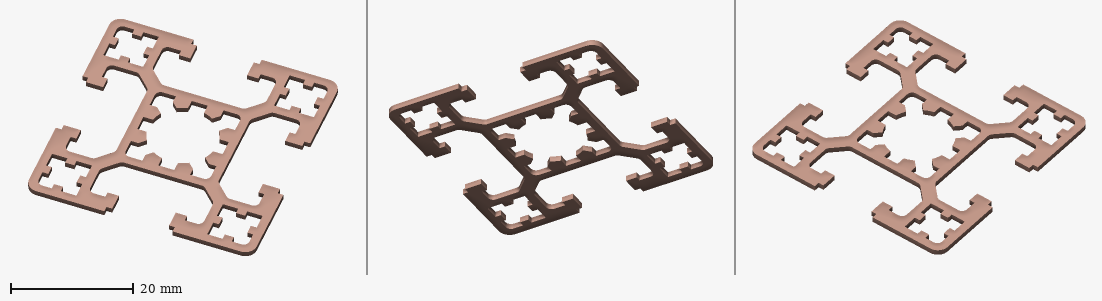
import cadquery as cq
import math

side = 40.0
thickness = 1.0
half = side / 2
outer_radius = 2.0

mouth_half = 5.0
rebate_half = 6.0
rebate_depth = 1.0
lip_depth = 4.0
hook_half = 7.0
hook_height = 1.0
slot_half = 10.0
slot_depth = 11.0
slot_radius = 1.0
strut_width = 2.5
floor_radius = 1.0
slope_radius = 1.0

post_cavity = 7.0
wall = (half - slot_half - post_cavity) / 2
post_centre = half - wall - post_cavity / 2
post_radius = 1.0
post_rib_width = 1.6
post_rib_height = 1.0

core_half = half - slot_depth - wall
core_radius = 1.0
bore_radius = 6.0
tooth_inner = 1.4
tooth_outer = 4.2
tooth_diagonal_offset = 2.0


def prism(points):
    return cq.Workplane("XY").polyline(points).close().extrude(thickness)


def block(width, height, x, y):
    return cq.Workplane("XY").center(x, y).rect(width, height).extrude(thickness)


def around_axis(body):
    """Four copies of a body, a quarter turn apart."""
    copies = body
    for turn in range(1, 4):
        copies = copies.union(body.rotate((0, 0, 0), (0, 0, 1), 90 * turn))
    return copies


def upright_edge_near(body, x, y):
    """The upright edge of a body that passes closest to (x, y)."""
    return body.edges(cq.selectors.NearestToPointSelector((x, y, thickness / 2)))


def t_slot():
    """Cutter for the slot that opens on the +Y side."""
    ceiling = half - lip_depth + hook_height
    floor = half - slot_depth
    floor_half = floor - strut_width / math.sqrt(2)
    slope_top = floor + slot_half - floor_half
    right_side = [
        (rebate_half, half),
        (rebate_half, half - rebate_depth),
        (mouth_half, half - rebate_depth),
        (mouth_half, half - lip_depth),
        (hook_half, half - lip_depth),
        (hook_half, ceiling),
        (slot_half, ceiling),
        (slot_half, slope_top),
        (floor_half, floor),
    ]
    left_side = [(-x, y) for x, y in reversed(right_side)]
    slot = prism(right_side + left_side)
    for sign in (-1, 1):
        slot = upright_edge_near(slot, sign * slot_half, ceiling).fillet(slot_radius)
        slot = upright_edge_near(slot, sign * floor_half, floor).fillet(floor_radius)
        slot = upright_edge_near(slot, sign * slot_half, slope_top).fillet(slope_radius)
    return slot


def post_cavity_cutter():
    """Cutter for the ribbed cavity in the +X +Y corner post."""
    cavity = block(post_cavity, post_cavity, post_centre, post_centre)
    cavity = cavity.edges("|Z").edges(">X and >Y").fillet(post_radius)
    rib_offset = (post_cavity - post_rib_height) / 2
    for sign in (-1, 1):
        rib_place = post_centre + sign * rib_offset
        cavity = cavity.cut(block(post_rib_height, post_rib_width, rib_place, post_centre))
        cavity = cavity.cut(block(post_rib_width, post_rib_height, post_centre, rib_place))
    return cavity


def core_cutter():
    """Cutter for the central cavity, leaving two teeth on each of its walls."""
    cavity = block(2 * core_half, 2 * core_half, 0, 0).edges("|Z").fillet(core_radius)
    tooth = prism([
        (tooth_inner, core_half),
        (tooth_outer, core_half),
        (tooth_outer, tooth_outer + tooth_diagonal_offset),
        (tooth_inner, tooth_inner + tooth_diagonal_offset),
    ])
    tooth_pair = tooth.union(tooth.mirror("YZ"))
    bore = cq.Workplane("XY").circle(bore_radius).extrude(thickness)
    return cavity.cut(around_axis(tooth_pair)).union(bore)


plate = block(side, side, 0, 0).edges("|Z").fillet(outer_radius)
result = plate.cut(around_axis(t_slot())).cut(around_axis(post_cavity_cutter())).cut(core_cutter())